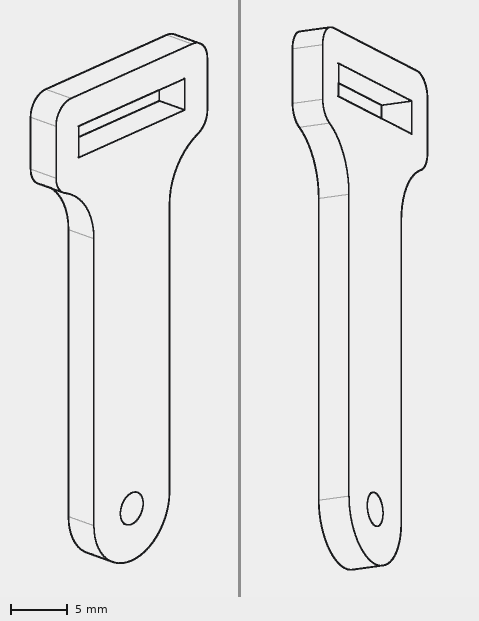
import cadquery as cq
import math

thickness = 3.0
length = 47.0
head_width = 20.0
stem_width = head_width / 2
corner_radius = 2.0
neck_radius = 6.0
head_side_end = 7.0
slot_width = 14.0
slot_height = 3.0
slot_margin = 3.0
hole_diameter = 3.0

top = length / 2
bottom = -length / 2
half_head = head_width / 2
half_stem = stem_width / 2
tip_center_z = bottom + half_stem

corner_y = half_head - corner_radius
corner_z = top - head_side_end
neck_y = half_stem + neck_radius
center_distance = corner_radius + neck_radius
neck_z = corner_z - math.sqrt(center_distance**2 - (neck_y - corner_y) ** 2)
neck_angle = math.atan2(corner_z - neck_z, corner_y - neck_y)


def point_on_arc(center_y, center_z, radius, angle):
    return (center_y + radius * math.cos(angle), center_z + radius * math.sin(angle))


def mirrored(point):
    return (-point[0], point[1])


neck_start = (half_stem, neck_z)
neck_middle = point_on_arc(neck_y, neck_z, neck_radius, (math.pi + neck_angle) / 2)
neck_end = point_on_arc(neck_y, neck_z, neck_radius, neck_angle)
corner_middle = point_on_arc(corner_y, corner_z, corner_radius, (neck_angle - math.pi) / 2)
corner_end = (half_head, corner_z)
top_center_z = top - corner_radius
top_corner_start = (half_head, top_center_z)
top_corner_middle = point_on_arc(corner_y, top_center_z, corner_radius, math.pi / 4)
top_corner_end = (corner_y, top)

plate = (
    cq.Workplane("YZ", origin=(-thickness / 2, 0, 0))
    .moveTo(-half_stem, tip_center_z)
    .threePointArc((0, bottom), (half_stem, tip_center_z))
    .lineTo(*neck_start)
    .threePointArc(neck_middle, neck_end)
    .threePointArc(corner_middle, corner_end)
    .lineTo(*top_corner_start)
    .threePointArc(top_corner_middle, top_corner_end)
    .lineTo(*mirrored(top_corner_end))
    .threePointArc(mirrored(top_corner_middle), mirrored(top_corner_start))
    .lineTo(*mirrored(corner_end))
    .threePointArc(mirrored(corner_middle), mirrored(neck_end))
    .threePointArc(mirrored(neck_middle), mirrored(neck_start))
    .close()
    .extrude(thickness)
)

slot_center_z = top - slot_margin - slot_height / 2
slot = cq.Workplane("XY").box(thickness, slot_width, slot_height).translate((0, 0, slot_center_z))

hole = (
    cq.Workplane("YZ", origin=(-thickness / 2, 0, tip_center_z))
    .circle(hole_diameter / 2)
    .extrude(thickness)
)

result = plate.cut(slot).cut(hole)